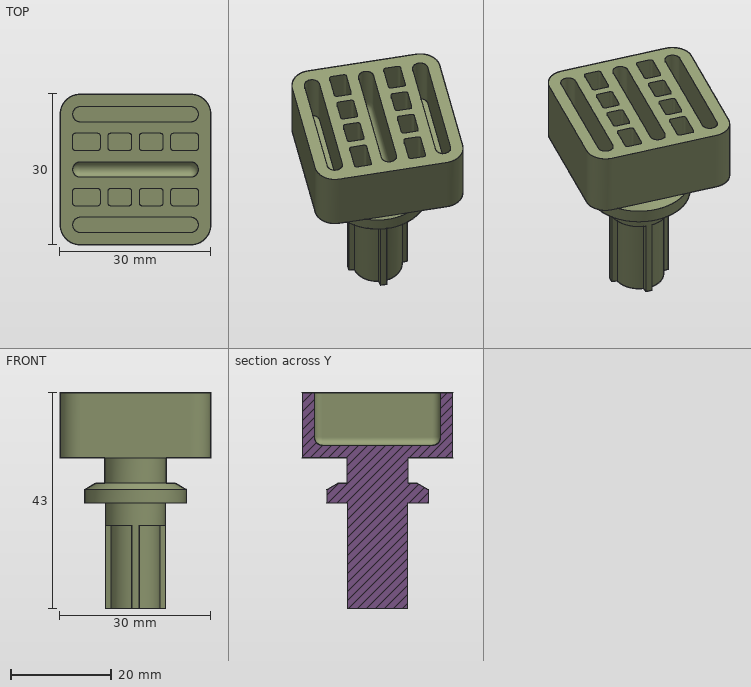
import cadquery as cq
import math

total_height = 43.0
head_side = 30.0
head_height = 13.0
head_corner_radius = 4.0

neck_diameter = 12.3
neck_height = 5.05
flange_diameter = 20.35
flange_height = 4.0
flange_chamfer_width = 2.3
flange_chamfer_height = 1.35
collar_diameter = 12.0
collar_height = 4.47
core_diameter = 9.9
rib_count = 4
rib_tip_width = 1.3
rib_flank_angle = 7.5

recess_span = 25.03
slot_width = 3.05
slot_offset = 11.0
pocket_row_offset = 5.5
pocket_width = 3.45
pocket_gap = 1.55
outer_pocket_length = 5.5
pocket_corner_radius = 0.5

recess_depth = head_height - (head_side - recess_span) / 2

head_bottom = total_height - head_height
neck_bottom = head_bottom - neck_height
flange_bottom = neck_bottom - flange_height
collar_bottom = flange_bottom - collar_height
recess_floor = total_height - recess_depth

inner_pocket_length = (recess_span - 2 * outer_pocket_length - 3 * pocket_gap) / 2
inner_pocket_x = (pocket_gap + inner_pocket_length) / 2
outer_pocket_x = (recess_span - outer_pocket_length) / 2


def cylinder(diameter, bottom, top):
    return cq.Workplane("XY").workplane(offset=bottom).circle(diameter / 2).extrude(top - bottom)


def make_head():
    plate = cq.Workplane("XY").workplane(offset=head_bottom).rect(head_side, head_side)
    return plate.extrude(head_height).edges("|Z").fillet(head_corner_radius)


def make_flange():
    radius = flange_diameter / 2
    half_section = [
        (0, flange_bottom),
        (radius, flange_bottom),
        (radius, neck_bottom - flange_chamfer_height),
        (radius - flange_chamfer_width, neck_bottom),
        (0, neck_bottom),
    ]
    return cq.Workplane("XZ").polyline(half_section).close().revolve(360, (0, 0, 0), (0, 1, 0))


def make_rib():
    """Rib along +X that narrows outwards, with its tip flush with the collar surface."""
    tip_radius = collar_diameter / 2
    half_tip = rib_tip_width / 2
    half_root = half_tip + tip_radius * math.tan(math.radians(rib_flank_angle))
    outline = [(0, -half_root), (tip_radius, -half_tip), (tip_radius, half_tip), (0, half_root)]
    wedge = cq.Workplane("XY").polyline(outline).close().extrude(collar_bottom)
    return wedge.intersect(cylinder(collar_diameter, 0, collar_bottom))


def make_splined_shaft():
    shaft = cylinder(core_diameter, 0, collar_bottom)
    for index in range(rib_count):
        shaft = shaft.union(make_rib().rotate((0, 0, 0), (0, 0, 1), index * 360 / rib_count))
    return shaft


def flat_slot(y, floor):
    sketch = cq.Workplane("XY").workplane(offset=floor).center(0, y)
    return sketch.slot2D(recess_span, slot_width).extrude(total_height - floor)


def round_bottom_slot():
    """Slot whose floor is a half cylinder closed by a quarter sphere at each end."""
    radius = slot_width / 2
    axis_z = recess_floor + radius
    straight_length = recess_span - slot_width
    slot = flat_slot(0, axis_z)
    trough = cq.Workplane("YZ").workplane(offset=-straight_length / 2).center(0, axis_z)
    slot = slot.union(trough.circle(radius).extrude(straight_length))
    for end_x in (-straight_length / 2, straight_length / 2):
        slot = slot.union(cq.Workplane("XY").sphere(radius).translate((end_x, 0, axis_z)))
    return slot


def pocket(x, y, length):
    sketch = cq.Workplane("XY").workplane(offset=recess_floor).center(x, y)
    block = sketch.rect(length, pocket_width).extrude(recess_depth)
    return block.edges("|Z").fillet(pocket_corner_radius)


result = (
    make_head()
    .union(cylinder(neck_diameter, neck_bottom, head_bottom))
    .union(make_flange())
    .union(cylinder(collar_diameter, collar_bottom, flange_bottom))
    .union(make_splined_shaft())
)

result = result.cut(round_bottom_slot())
for side in (-1, 1):
    result = result.cut(flat_slot(side * slot_offset, recess_floor))
    for direction in (-1, 1):
        row_y = side * pocket_row_offset
        result = result.cut(pocket(direction * inner_pocket_x, row_y, inner_pocket_length))
        result = result.cut(pocket(direction * outer_pocket_x, row_y, outer_pocket_length))